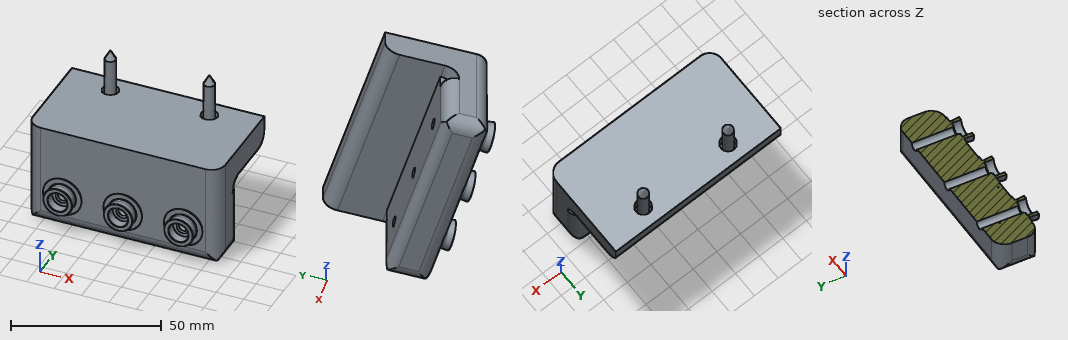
import cadquery as cq
width = 70.0
depth = 36.7
height = 38.0
flange_thickness = 10.0
edge_radius = 5.0
back_bottom_radius = 4.0

wall_depth = 15.95
leaf_depth = wall_depth - edge_radius
shelf_z = -flange_thickness - edge_radius

web_thickness = 2.1
web_width = width - 2 * edge_radius

pin_spacing = 36.0
pin_y = 29.9
pin_radius = 1.95
pin_height = 15.95
point_height = 3.4
pin_hole_radius = 2.95
pin_hole_depth = flange_thickness / 2

socket_spacing = 22.0
socket_z = -25.3
socket_length = 4.0
washer_radius = 7.0
washer_thickness = 0.3
barrel_radius = 5.0
neck_length = 1.5
rim_radius = 5.25
rim_thickness = 0.3
bevel = 0.15
bore_radius = 3.6
bore_depth = 3.65
hole_radius = 1.75
hole_mouth_radius = 2.3


def box(x_size, y_min, y_max, z_min, z_max):
    """Box centred on X between the given Y and Z limits."""
    return (
        cq.Workplane("XY")
        .box(x_size, y_max - y_min, z_max - z_min, centered=(True, False, False))
        .translate((0, y_min, z_min))
    )


def make_body():
    """Rounded flange and wall, with a slot under the flange that leaves only the web."""
    flange = box(width, 0, depth, -flange_thickness, 0).edges(">Y and <Z").fillet(edge_radius)
    flange = flange.edges("|Z and <Y").fillet(edge_radius)

    block = box(width, 0, wall_depth, -height, 0)
    wall = block.edges("|Z").fillet(edge_radius)
    wall = wall.intersect(block.edges("|Y and <Z").fillet(edge_radius))
    rounded_along_x = block.faces("<Y").edges("<Z").fillet(edge_radius)
    rounded_along_x = rounded_along_x.faces(">Y").edges("<Z").fillet(back_bottom_radius)
    wall = wall.intersect(rounded_along_x)

    slot = box(width, leaf_depth, wall_depth, shelf_z, -flange_thickness)
    inner_corner = (
        cq.Workplane("YZ")
        .moveTo(leaf_depth, shelf_z)
        .radiusArc((wall_depth, -flange_thickness), edge_radius)
        .lineTo(leaf_depth, -flange_thickness)
        .close()
        .extrude(width / 2, both=True)
    )
    web = box(web_width, wall_depth - web_thickness, wall_depth, shelf_z, -flange_thickness)
    return wall.cut(slot).union(flange).union(inner_corner).union(web)


def make_pin():
    """Round pin with a conical point, rising from the floor of its clearance hole."""
    return (
        cq.Workplane("XZ")
        .moveTo(0, -pin_hole_depth)
        .lineTo(pin_radius, -pin_hole_depth)
        .lineTo(pin_radius, pin_height - point_height)
        .lineTo(0, pin_height)
        .close()
        .revolve(360, (0, 0, 0), (0, 1, 0))
    )


def revolve_about_y(points):
    """Solid of revolution about Y from (radius, Y) points."""
    return cq.Workplane("XY").polyline(points).close().revolve(360, (0, 0, 0), (0, 1, 0))


def make_socket():
    """Washer and flared barrel standing out of the front face."""
    return revolve_about_y([
        (0, 0),
        (washer_radius, 0),
        (washer_radius, -washer_thickness),
        (barrel_radius + bevel, -washer_thickness),
        (barrel_radius, -washer_thickness - bevel),
        (barrel_radius, -neck_length),
        (rim_radius, rim_thickness - socket_length),
        (rim_radius, bevel - socket_length),
        (rim_radius - bevel, -socket_length),
        (0, -socket_length),
    ])


def make_socket_bore():
    """Wide bore from the rim, then a bevelled hole through the wall."""
    bore_floor = bore_depth - socket_length
    mouth_end = bore_floor + hole_mouth_radius - hole_radius
    return revolve_about_y([
        (0, -socket_length),
        (bore_radius + bevel, -socket_length),
        (bore_radius, bevel - socket_length),
        (bore_radius, bore_floor),
        (hole_mouth_radius, bore_floor),
        (hole_radius, mouth_end),
        (hole_radius, wall_depth),
        (0, wall_depth),
    ])


result = make_body()

for side in (-1, 1):
    pin_x = side * pin_spacing / 2
    clearance = (
        cq.Workplane("XY")
        .center(pin_x, pin_y)
        .circle(pin_hole_radius)
        .extrude(-pin_hole_depth)
    )
    result = result.cut(clearance).union(make_pin().translate((pin_x, pin_y, 0)))

for step in (-1, 0, 1):
    place = (step * socket_spacing, 0, socket_z)
    result = result.union(make_socket().translate(place)).cut(make_socket_bore().translate(place))